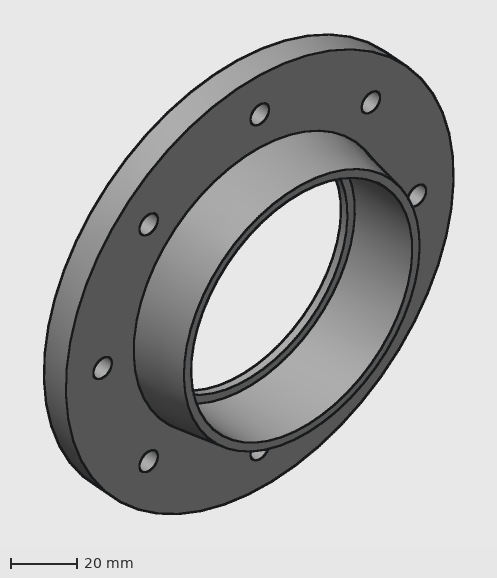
import cadquery as cq
import math

flange_diameter = 158.0
flange_thickness = 10.0

overall_length = 29.0
hub_end_diameter = 96.0
hub_taper_angle = 10.0
hub_length = overall_length - flange_thickness
hub_base_diameter = hub_end_diameter + 2 * hub_length * math.tan(math.radians(hub_taper_angle))

lip_diameter = 84.0
lip_length = 3.0
bore_diameter = 90.0

bolt_hole_count = 8
bolt_hole_diameter = 7.5
bolt_circle_diameter = 128.0


def revolved_body():
    """Flange, conical hub and stepped bore as one profile turned about the X axis."""
    profile = (
        cq.Workplane("XZ")
        .moveTo(0, lip_diameter / 2)
        .lineTo(0, flange_diameter / 2)
        .lineTo(flange_thickness, flange_diameter / 2)
        .lineTo(flange_thickness, hub_base_diameter / 2)
        .lineTo(overall_length, hub_end_diameter / 2)
        .lineTo(overall_length, bore_diameter / 2)
        .lineTo(lip_length, bore_diameter / 2)
        .lineTo(lip_length, lip_diameter / 2)
        .close()
    )
    return profile.revolve(360, (0, 0, 0), (1, 0, 0))


def bolt_holes():
    """Cylinders through the flange, evenly spaced on the bolt circle."""
    return (
        cq.Workplane("YZ")
        .polarArray(bolt_circle_diameter / 2, 0, 360, bolt_hole_count)
        .circle(bolt_hole_diameter / 2)
        .extrude(flange_thickness)
    )


result = revolved_body().cut(bolt_holes())